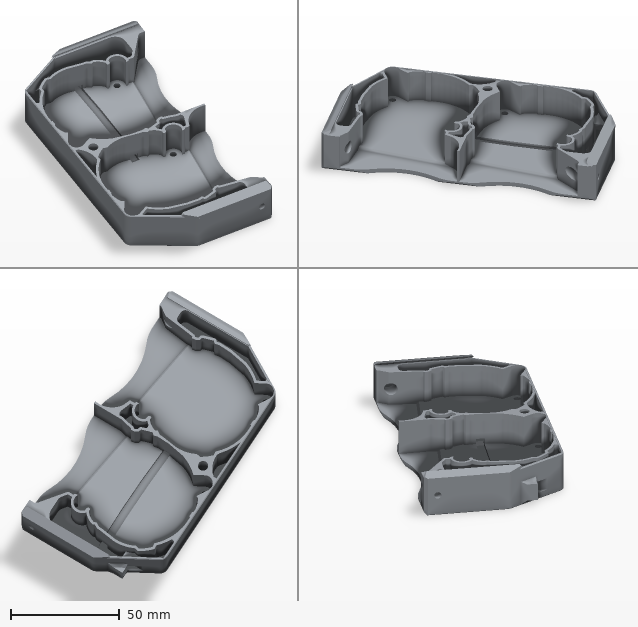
import cadquery as cq
import math

LENGTH = 130.0
DEPTH = 68.5
BODY_HEIGHT = 18.7
LIP_TOP = 20.5
HALF = LENGTH / 2

FLANK_ANGLE = math.radians(30)
FLANK_START_Y = 28.5
CORNER_RADIUS = 3.9
REAR_CORNER = 1.5
EDGE_CHAMFER = 0.4
REAR_FOOT_CHAMFER = 1.3

RIM = 1.0
INNER_TOP = 18.5
CELL_WALL = 1.24
CELL_FLOOR = 3.2
LOW_FLOOR = 2.1
CHANNEL_FLOOR = 1.8

CELL_PITCH = 53.0
CELL_CENTERS = (-CELL_PITCH / 2, CELL_PITCH / 2)
STEP_ANGLE = -7.2
STEP_Y = 53.8
SCALLOP_DEPTH = 5.2
SCALLOP_HALF_WIDTH = 23.7
SCALLOP_RADIUS = 37.0

LIP_REACH = 4.4
LIP_UNDERCUT = 1.3
LIP_TIP = 0.6
LIP_START_Y = 23.1
LIP_ROOT_DEPTH = 1.3
POCKET_SIDE = 60.7
LEFT_POCKET_REAR = 57.5
LEFT_POCKET_END = -38.2
RIGHT_POCKET_REAR = 58.2
RIGHT_POCKET_FRONT = 7.3
RIGHT_POCKET_INNER = 46.8

SCREW_DIAMETER = 3.2
POST_HOLE = (-18.5, 47.3)
CORNER_HOLE = (19.6, 4.4)
BOSS_Y = 9.6
BOSS_DIAMETER = 4.7
SIDE_HOLE = (62.3, 9.9)
SIDE_BORE_DIAMETER = 6.0
SIDE_BORE_SEAT = 3.2

HOOD_X = -61.6
HOOD_FRONT_Y = 14.8
HOOD_Z = (2.1, 10.3)
FLARE_OUT = 1.4
FLARE_UP = 1.5
CABLE_BLOCK_Y = 18.7
OPENING_X = (-60.7, -53.5)
OPENING_Z = (CELL_FLOOR, 9.0)

CHANNEL_LEFT = -55.1
CHANNEL_RAMP = (2.0, 3.8)
TUNNEL_TOP = 5.8


def flank_x(y, inset=0.0):
    """X of the right flank at a given Y, moved inwards by inset."""
    return HALF - (FLANK_START_Y - y) * math.tan(FLANK_ANGLE) - inset / math.cos(FLANK_ANGLE)


def flank_y(x, inset=0.0):
    """Y of the right flank at a given X, moved inwards by inset."""
    return FLANK_START_Y - (HALF - inset / math.cos(FLANK_ANGLE) - x) / math.tan(FLANK_ANGLE)


def mirrored(right_half):
    return right_half + [(-x, y) for x, y in reversed(right_half)]


def prism(points, bottom, top):
    base = cq.Workplane("XY", origin=(0, 0, bottom))
    return base.polyline(points).close().extrude(top - bottom)


def bar_along_x(points):
    """Prism across the whole length; points are (Y, Z)."""
    return cq.Workplane("YZ").polyline(points).close().extrude(HALF, both=True)


def bar_along_y(points):
    """Prism across the whole depth; points are (X, Z)."""
    return cq.Workplane("XZ").polyline(points).close().extrude(-DEPTH)


def block(x_range, y_range, z_range):
    (x0, x1), (y0, y1), (z0, z1) = x_range, y_range, z_range
    return cq.Workplane("XY").box(x1 - x0, y1 - y0, z1 - z0, centered=False).translate((x0, y0, z0))


def trace(path, steps):
    """Continue a path: one point makes a line, a pair (through, end) makes an arc."""
    for step in steps:
        if isinstance(step[0], tuple):
            path = path.threePointArc(*step)
        else:
            path = path.lineTo(*step)
    return path


OUTLINE = mirrored([
    (flank_x(0), 0),
    (HALF, FLANK_START_Y),
    (HALF, DEPTH - REAR_CORNER),
    (HALF - REAR_CORNER, DEPTH),
])


def tray_body():
    body = prism(OUTLINE, 0, BODY_HEIGHT)
    for x, y in OUTLINE[:2]:
        for side in (-1, 1):
            corner = cq.selectors.NearestToPointSelector((side * x, y, BODY_HEIGHT / 2))
            body = body.edges("|Z").edges(corner).fillet(CORNER_RADIUS)
    front_and_flanks = cq.selectors.BoxSelector((-HALF, -1.3, -1.3), (HALF, FLANK_START_Y, LIP_TOP))
    body = body.faces("<Z or >Z").edges(front_and_flanks).chamfer(EDGE_CHAMFER)
    foot = [(DEPTH - REAR_FOOT_CHAMFER, 0), (DEPTH, 0), (DEPTH, REAR_FOOT_CHAMFER)]
    return body.cut(bar_along_x(foot))


def inside_rim(side, bottom):
    """Space between the front wall, the flanks and X = -side, +side; open at the rear."""
    half = [(flank_x(RIM, RIM), RIM), (side, flank_y(side, RIM)), (side, DEPTH)]
    return prism(mirrored(half), bottom, BODY_HEIGHT)


def side_lips():
    """Hooked lips along both sides, with ends sloping at 45 degrees."""
    tip = HALF - LIP_REACH
    foot = tip + LIP_UNDERCUT
    root = BODY_HEIGHT - LIP_ROOT_DEPTH
    rise = LIP_TOP - BODY_HEIGHT
    profile = [
        (HALF, root),
        (HALF, BODY_HEIGHT),
        (tip, LIP_TOP),
        (tip, LIP_TOP - LIP_TIP),
        (foot, INNER_TOP),
        (foot, root),
    ]
    lips = bar_along_y(profile).union(bar_along_y([(-x, z) for x, z in profile]))
    ends = [
        (LIP_START_Y - rise, root),
        (LIP_START_Y - rise, BODY_HEIGHT),
        (LIP_START_Y, LIP_TOP),
        (DEPTH - rise, LIP_TOP),
        (DEPTH, BODY_HEIGHT),
        (DEPTH, root),
    ]
    return lips.intersect(bar_along_x(ends)).intersect(prism(OUTLINE, 0, LIP_TOP))


CELL_SIDES = [
    (-17.2, 55.2),
    (-17.2, 52.8),
    (-16.2, 52.1),
    (-16.2, 50.8),
    (-17.0, 51.2),
    ((-22.2, 47.3), (-20.9, 44.2)),
    (-19.4, 44.1),
    (-18.7, 43.3),
    (-19.0, 42.4),
    (-20.3, 42.4),
    ((-22.4, 40.2), (-23.5, 37.6)),
    (-23.0, 36.4),
    (-24.2, 34.5),
    (-24.3, 32.5),
    (-25.4, 25.1),
    ((-25.0, 20.0), (-23.1, 15.1)),
    (-23.5, 13.1),
    ((-21.7, 10.5), (-19.5, 8.2)),
    (-17.5, 8.5),
    ((-10.1, 3.4), (-1.3, 1.3)),
    (2.1, 1.3),
    (2.1, 1.8),
    (4.7, 1.8),
    (5.1, 1.3),
    (6.5, 1.3),
    ((9.2, 2.0), (11.8, 3.1)),
    (12.4, 4.3),
    (17.3, 1.4),
    ((21.5, 1.2), (23.1, 6.2)),
    (20.4, 11.0),
    ((23.7, 15.5), (25.7, 20.0)),
    (27.3, 28.6),
    (27.5, 34.7),
    (27.0, 36.9),
    (28.1, 38.0),
    ((27.3, 40.5), (26.4, 43.3)),
    (25.1, 43.5),
    (24.0, 45.2),
    (23.8, 47.2),
    (24.6, 47.5),
]
MOUTH_END = DEPTH + 6.5
LEFT_CELL = (
    [(-30.0, MOUTH_END), (-30.0, 65.8), (-29.2, 64.6), (-17.8, 56.0)]
    + CELL_SIDES
    + [(25.1, 50.6), (25.9, 53.5), (25.9, MOUTH_END)]
)
RIGHT_CELL = (
    [(-26.0, MOUTH_END), (-26.0, DEPTH), ((-24.5, 60.2), (-20.4, 56.4))]
    + CELL_SIDES
    + [(25.0, 49.9), (26.4, 61.9), (26.6, 63.3), (29.5, 67.5), (29.5, MOUTH_END)]
)
CELLS = list(zip(CELL_CENTERS, (LEFT_CELL, RIGHT_CELL)))


def cell_outline(center_x, steps, bottom):
    start = cq.Workplane("XY", origin=(center_x, 0, bottom)).moveTo(*steps[0])
    return trace(start, steps[1:]).close()


def behind_step(center_x):
    """Space behind the floor step, with a 45 degree ramp along its front edge."""
    drop = CELL_FLOOR - LOW_FLOOR
    profile = [
        (0, LOW_FLOOR),
        (-drop, CELL_FLOOR),
        (-drop, BODY_HEIGHT),
        (DEPTH, BODY_HEIGHT),
        (DEPTH, LOW_FLOOR),
    ]
    return bar_along_x(profile).rotate((0, 0, 0), (0, 0, 1), STEP_ANGLE).translate((center_x, STEP_Y, 0))


def cell_void(center_x, steps):
    main = cell_outline(center_x, steps, CELL_FLOOR).extrude(BODY_HEIGHT - CELL_FLOOR)
    deep = cell_outline(center_x, steps, LOW_FLOOR).extrude(BODY_HEIGHT - LOW_FLOOR)
    return main.union(deep.intersect(behind_step(center_x)))


def rear_scallop(center_x):
    """Dip in the rear floor edge: a wide arc blending into a crest on each side."""
    turn = 2 * math.atan(SCALLOP_DEPTH / SCALLOP_HALF_WIDTH)
    crest_radius = SCALLOP_HALF_WIDTH / math.sin(turn) - SCALLOP_RADIUS
    join_x = SCALLOP_RADIUS * math.sin(turn)
    join_y = DEPTH - SCALLOP_DEPTH + SCALLOP_RADIUS * (1 - math.cos(turn))
    crest_x = SCALLOP_HALF_WIDTH - crest_radius * math.sin(turn / 2)
    crest_y = DEPTH - crest_radius * (1 - math.cos(turn / 2))
    return (
        cq.Workplane("XY", origin=(center_x, 0, 0))
        .moveTo(-SCALLOP_HALF_WIDTH, DEPTH)
        .threePointArc((-crest_x, crest_y), (-join_x, join_y))
        .threePointArc((0, DEPTH - SCALLOP_DEPTH), (join_x, join_y))
        .threePointArc((crest_x, crest_y), (SCALLOP_HALF_WIDTH, DEPTH))
        .close()
        .extrude(CELL_FLOOR)
    )


def pocket_voids():
    z_range = (LOW_FLOOR, BODY_HEIGHT)
    left = block((-POCKET_SIDE, LEFT_POCKET_END), (RIM, LEFT_POCKET_REAR), z_range)
    left = left.edges("|Z and <X and >Y").fillet(5.2).edges("|Z and >X and <Y").fillet(1.0)
    right = block((RIGHT_POCKET_INNER, POCKET_SIDE), (RIGHT_POCKET_FRONT, RIGHT_POCKET_REAR), z_range)
    right = right.edges("|Z and >X and >Y").fillet(2.6)
    front_start = cq.Workplane("XY", origin=(0, 0, LOW_FLOOR)).moveTo(-2.0, RIM)
    front_steps = [(-2.0, 2.6), ((1.8, 5.7), (8.0, 7.0)), (19.5, RIM)]
    front = trace(front_start, front_steps).close().extrude(BODY_HEIGHT - LOW_FLOOR)
    rear_points = [
        (-2.0, 42.9), (2.0, 41.3), (3.9, 41.3), (9.1, 46.8), (9.1, 53.3),
        (7.8, 54.2), (3.0, 55.9), (1.7, 56.0), (0.3, 55.2), (-2.0, 50.7),
    ]
    rear = prism(rear_points, *z_range)

    voids = left.union(right).union(front).union(rear)
    voids = voids.intersect(inside_rim(POCKET_SIDE, LOW_FLOOR))
    for center_x, steps in CELLS:
        cell_and_wall = cell_outline(center_x, steps, 0).offset2D(CELL_WALL).extrude(BODY_HEIGHT)
        voids = voids.cut(cell_and_wall)
    corners = ((-48.8, LEFT_POCKET_REAR, 3.9), (53.5, RIGHT_POCKET_REAR, 2.3))
    for corner_x, corner_y, radius in corners:
        nearest = cq.selectors.NearestToPointSelector((corner_x, corner_y, BODY_HEIGHT / 2))
        voids = voids.edges("|Z").edges(nearest).fillet(radius)
    return voids.cut(cable_block())


def cable_block():
    """Low block left standing in the left pocket, which the cable opening runs through."""
    points = [
        (-HALF, CABLE_BLOCK_Y), (-49.4, CABLE_BLOCK_Y), (-49.4, 13.0),
        (-52.1, 10.7), (-52.1, 0), (-HALF, 0),
    ]
    return prism(points, 0, HOOD_Z[1] + FLARE_UP)


def floor_holes():
    points = [(center_x + x, y) for center_x in CELL_CENTERS for x, y in (POST_HOLE, CORNER_HOLE)]
    return cq.Workplane("XY").pushPoints(points).circle(SCREW_DIAMETER / 2).extrude(BODY_HEIGHT)


def boss_hole():
    boss = cq.Workplane("XY", origin=(0, BOSS_Y, CELL_FLOOR))
    return boss.circle(BOSS_DIAMETER / 2).extrude(BODY_HEIGHT - CELL_FLOOR)


def side_holes():
    """Screw holes through both side walls, counterbored from the cell mouths."""
    axis = cq.Workplane("YZ").center(*SIDE_HOLE)
    screws = axis.circle(SCREW_DIAMETER / 2).extrude(HALF, both=True)
    bores = axis.circle(SIDE_BORE_DIAMETER / 2).extrude(HALF - SIDE_BORE_SEAT, both=True)
    middle = block((-CELL_PITCH / 2, CELL_PITCH / 2), (0, DEPTH), (0, BODY_HEIGHT))
    return screws.union(bores).cut(middle)


def wire_channel():
    """Slightly bowed floor channel, tunnelling through the walls beside the left cell."""
    ramp_start, ramp_end = CHANNEL_RAMP
    profile = [
        (CHANNEL_LEFT, CHANNEL_FLOOR),
        (ramp_start, CHANNEL_FLOOR),
        (ramp_end, CELL_FLOOR),
        (ramp_end, TUNNEL_TOP),
        (CHANNEL_LEFT, TUNNEL_TOP),
    ]
    middle = (CHANNEL_LEFT + ramp_end) / 2
    plan_steps = [
        ((middle, 29.0), (ramp_end, 28.1)),
        (ramp_end, 32.0),
        ((middle, 33.0), (CHANNEL_LEFT, 32.5)),
    ]
    plan = trace(cq.Workplane("XY").moveTo(CHANNEL_LEFT, 28.6), plan_steps).close()
    return bar_along_y(profile).intersect(plan.extrude(BODY_HEIGHT))


def cable_hood():
    """Triangular hood on the flank, flared above and below where it meets the wall."""
    bottom, top = HOOD_Z
    front_x = -flank_x(HOOD_FRONT_Y)
    plan = [(HOOD_X, HOOD_FRONT_Y), (HOOD_X, flank_y(-HOOD_X)), (front_x, HOOD_FRONT_Y)]
    sin, cos = math.sin(FLANK_ANGLE), math.cos(FLANK_ANGLE)
    across_flank = cq.Plane(
        origin=(front_x, HOOD_FRONT_Y, 0),
        xDir=(-cos, -sin, 0),
        normal=(-sin, cos, 0),
    )
    section = [(0, bottom - FLARE_UP), (FLARE_OUT, bottom), (FLARE_OUT, top), (0, top + FLARE_UP)]
    flare_length = (front_x - HOOD_X) / sin
    flare = cq.Workplane(across_flank).polyline(section).close().extrude(flare_length)
    return prism(plan, bottom, top).union(flare.intersect(prism(plan, 0, BODY_HEIGHT)))


def cable_opening():
    return block(OPENING_X, (0, CABLE_BLOCK_Y), OPENING_Z)


result = tray_body()
result = result.cut(inside_rim(HALF - LIP_REACH + LIP_UNDERCUT, INNER_TOP))
result = result.union(cable_hood())
for cell_center, cell_steps in CELLS:
    result = result.cut(cell_void(cell_center, cell_steps))
    result = result.cut(rear_scallop(cell_center))
result = result.cut(pocket_voids())
result = result.cut(floor_holes()).cut(boss_hole()).cut(side_holes())
result = result.cut(wire_channel()).cut(cable_opening())
result = result.union(side_lips())